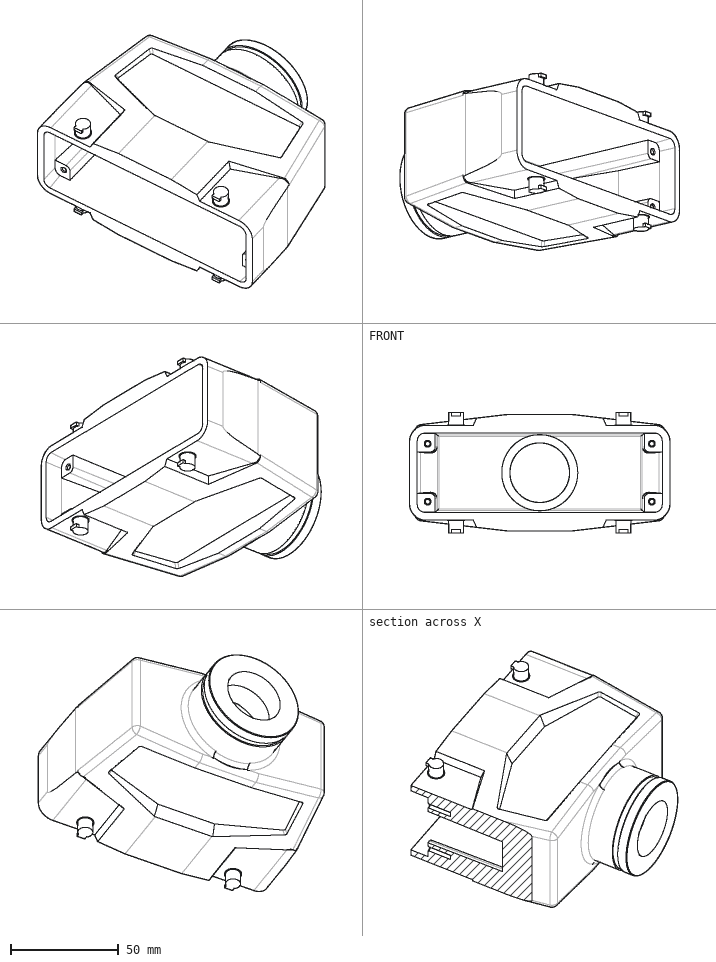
import cadquery as cq
import math


half_width = 60.5
rim_depth = 9.2
waist_y = 32.3
waist_half_width = 58.2
back_y = 76.4
back_half_width = 50.0
crown_half_width = 14.9
crown_height = 27.1
roof_slope = 0.117
edge_radius = 3.0

cutter_margin = 1.2

rim_half_height = 22.0
rim_corner_radius = 7.6
cutout_inner_x = 30.9
cutout_inner_y = 25.2
cutout_outer_x = 55.4
cutout_outer_y = 34.1
wall_draft = 25.0

label_floor_height = 21.4
label_back_y = 66.4
label_back_x = 42.0
label_wide_y = 43.9
label_wide_x = 45.9
label_front_y = 32.5
label_corner_radius = 1.2

collar_end_y = 99.5
collar_radius = 23.6
collar_end_chamfer = 0.4
groove_front_y = 91.7
groove_back_y = 94.6
groove_radius = 22.9
flare_radius = 2.4
crown_flare_radius = 1.9
crown_flare_half_width = 9.0
bore_radius = 13.8
inner_bore_radius = 17.7
bore_lip_length = 10.9

cavity_half_width = 56.9
cavity_waist_half_width = 55.3
cavity_back_half_width = 47.4
cavity_half_height = 18.4
cavity_back_half_height = 17.5
cavity_back_y = 73.5
cavity_corner_radius = 3.6
cavity_floor_radius = 0.7

post_inner_x = 48.5
post_inner_z = 9.7
post_corner_radius = 2.2
post_draft = 0.75
screw_x = 52.0
screw_z = 13.4
screw_radius = 1.1
screw_chamfer = 0.5
screw_depth = 12.1

pin_x = 38.8
pin_y = 5.8
pin_radius = 3.5
pin_tip_span = 56.0
pin_tip_height = pin_tip_span / 2
pin_foot_radius = 4.0
pin_foot_height = 0.1
pin_tab_half_width = 2.0
pin_tab_height = 1.7
pin_tab_front_y = 1.5
pin_root_depth = 1.2


def mirrored(half):
    """Close a symmetric outline from its +X half, listed front to back."""
    return half + [(-x, y) for x, y in reversed(half)]


def four_corners(shape):
    """The shape together with its mirror images in X and in Z."""
    pair = shape.union(shape.mirror("YZ"))
    return pair.union(pair.mirror("XY"))


def side_outline_solid(half, half_height):
    """Solid with the given outline in X and Y, centred in Z."""
    return cq.Workplane("XY").polyline(mirrored(half)).close().extrude(half_height, both=True)


def drafted_pocket(outline, floor_height):
    """Cutter with sharp corners that widens upwards from its floor to above the crown."""
    depth = crown_height - floor_height + cutter_margin
    spread = depth * math.tan(math.radians(wall_draft))
    floor = cq.Workplane("XY").polyline(outline).close()
    mouth = floor.offset2D(spread, "intersection")
    wires = [
        floor.val().translate(cq.Vector(0, 0, floor_height)),
        mouth.val().translate(cq.Vector(0, 0, floor_height + depth)),
    ]
    return cq.Workplane("XY").add(cq.Solid.makeLoft(wires, True))


def roof_height(x):
    return crown_height - roof_slope * (x - crown_half_width)


shell_outline = [
    (half_width, 0),
    (half_width, rim_depth),
    (waist_half_width, waist_y),
    (back_half_width, back_y),
]


def upper_shell():
    """Tapered body with sloped roof strips and rounded side and back edges."""
    eave = roof_height(half_width)
    section = [
        (half_width, -eave),
        (half_width, eave),
        (crown_half_width, crown_height),
        (-crown_half_width, crown_height),
        (-half_width, eave),
        (-half_width, -eave),
        (-crown_half_width, -crown_height),
        (crown_half_width, -crown_height),
    ]
    roof = cq.Workplane("XZ").polyline(section).close().extrude(-back_y)
    shell = side_outline_solid(shell_outline, crown_height).intersect(roof)
    behind_waist = cq.selectors.BoxSelector(
        (-2 * half_width, waist_y + cutter_margin, -2 * half_width),
        (2 * half_width, back_y + cutter_margin, 2 * half_width),
    )
    return shell.edges(behind_waist).edges("not(|Y)").fillet(edge_radius)


def corner_cutout():
    """Drafted cut-out that frees the rounded corner of the lower rim."""
    outside = 2 * half_width
    outline = [
        (cutout_inner_x, -outside),
        (cutout_inner_x, cutout_inner_y),
        (cutout_outer_x, cutout_outer_y),
        (outside, cutout_outer_y),
        (outside, -outside),
    ]
    pocket = drafted_pocket(outline, rim_half_height)
    edge_relief = cq.Workplane("XY").box(
        rim_corner_radius + cutter_margin, cutout_outer_y, rim_corner_radius, centered=False
    ).translate((half_width - rim_corner_radius, 0, rim_half_height - rim_corner_radius))
    return pocket.union(edge_relief)


def lower_rim():
    block = (
        cq.Workplane("XZ").rect(2 * half_width, 2 * rim_half_height)
        .extrude(-cutout_outer_y)
        .edges("|Y").fillet(rim_corner_radius)
    )
    return block.intersect(side_outline_solid(shell_outline, rim_half_height))


def label_recess():
    outline = mirrored([
        (crown_half_width, label_front_y),
        (label_wide_x, label_wide_y),
        (label_back_x, label_back_y),
    ])
    recess = drafted_pocket(outline, label_floor_height)
    outer_corners = cq.selectors.BoxSelector(
        (-half_width, (label_front_y + label_wide_y) / 2, label_floor_height),
        (half_width, back_y, crown_height),
    )
    return recess.edges(outer_corners).edges("not(#Z)").fillet(label_corner_radius)


def collar():
    start_y = back_y - edge_radius
    profile = [
        (0, start_y),
        (collar_radius, start_y),
        (collar_radius, groove_front_y),
        (groove_radius, groove_front_y),
        (groove_radius, groove_back_y),
        (collar_radius, groove_back_y),
        (collar_radius, collar_end_y - collar_end_chamfer),
        (collar_radius - collar_end_chamfer, collar_end_y),
        (0, collar_end_y),
    ]
    return cq.Workplane("XY").polyline(profile).close().revolve(360, (0, 0), (0, 1))


def flare_ring(radius):
    """Concave ring of the given radius between the collar and the back wall."""
    bend = radius * (1 - math.sqrt(0.5))
    return (
        cq.Workplane("XY")
        .moveTo(groove_radius, back_y - edge_radius)
        .lineTo(collar_radius + radius, back_y - edge_radius)
        .lineTo(collar_radius + radius, back_y)
        .threePointArc((collar_radius + bend, back_y + bend), (collar_radius, back_y + radius))
        .lineTo(groove_radius, back_y + radius)
        .close()
        .revolve(360, (0, 0), (0, 1))
    )


def collar_flare():
    """The flare is smaller where the collar comes close to the crown."""
    crown_zone = cq.Workplane("XY").box(2 * crown_flare_half_width, 4 * back_y, 4 * collar_radius)
    sides = flare_ring(flare_radius).cut(crown_zone)
    return sides.union(flare_ring(crown_flare_radius).intersect(crown_zone))


def cavity():
    """Room open at the mating face, narrowing towards the back wall."""
    outline = [
        (cavity_half_width, 0),
        (cavity_half_width, rim_depth),
        (cavity_waist_half_width, waist_y),
        (cavity_back_half_width, cavity_back_y),
    ]
    tunnel = (
        cq.Workplane("YZ")
        .polyline([
            (0, -cavity_half_height),
            (cavity_back_y, -cavity_back_half_height),
            (cavity_back_y, cavity_back_half_height),
            (0, cavity_half_height),
        ])
        .close()
        .extrude(half_width, both=True)
    )
    room = side_outline_solid(outline, cavity_half_height).intersect(tunnel)
    room = room.faces(">Y").edges().fillet(cavity_floor_radius)
    mouth = (
        cq.Workplane("XZ").rect(2 * cavity_half_width, 2 * cavity_half_height)
        .extrude(-cavity_back_y)
        .edges("|Y").fillet(cavity_corner_radius)
    )
    return room.intersect(mouth)


def screw_post():
    width = half_width - post_inner_x
    height = crown_height - post_inner_z
    length = cavity_back_y - rim_depth
    return (
        cq.Workplane("XZ", origin=(0, rim_depth, 0))
        .center(post_inner_x + width / 2, post_inner_z + height / 2)
        .sketch().rect(width, height).vertices().fillet(post_corner_radius).finalize()
        .extrude(-length, taper=-post_draft)
    )


def screw_hole():
    mouth = cq.Workplane("XZ", origin=(screw_x, rim_depth, screw_z))
    hole = mouth.circle(screw_radius).extrude(-screw_depth)
    lead_in = (
        mouth.circle(screw_radius + screw_chamfer)
        .workplane(offset=-screw_chamfer).circle(screw_radius)
        .loft()
    )
    return hole.union(lead_in)


def locking_pin():
    root = rim_half_height - pin_root_depth
    base = cq.Workplane("XY", origin=(pin_x, pin_y, root))
    stem = base.circle(pin_radius).extrude(pin_tip_height - root)
    foot = base.circle(pin_foot_radius).extrude(rim_half_height + pin_foot_height - root)
    tab = cq.Workplane("XY").box(
        2 * pin_tab_half_width, pin_y - pin_tab_front_y, pin_tab_height, centered=False
    ).translate((pin_x - pin_tab_half_width, pin_tab_front_y, pin_tip_height - pin_tab_height))
    return stem.union(foot).union(tab)


def bore():
    """Through hole with a wider bore from the cavity up to a lip at the collar end."""
    start_y = cavity_back_y - cutter_margin
    lip_y = collar_end_y - bore_lip_length
    start = cq.Workplane("XZ", origin=(0, start_y, 0))
    through = start.circle(bore_radius).extrude(start_y - collar_end_y - cutter_margin)
    wide = start.circle(inner_bore_radius).extrude(start_y - lip_y)
    return through.union(wide)


label = label_recess()
interior = cavity().cut(four_corners(screw_post()))

hood = upper_shell().cut(four_corners(corner_cutout())).union(lower_rim())
hood = hood.cut(label).cut(label.mirror("XY"))
hood = hood.union(collar()).union(collar_flare())
hood = hood.cut(interior).cut(bore()).cut(four_corners(screw_hole()))
result = hood.union(four_corners(locking_pin()))